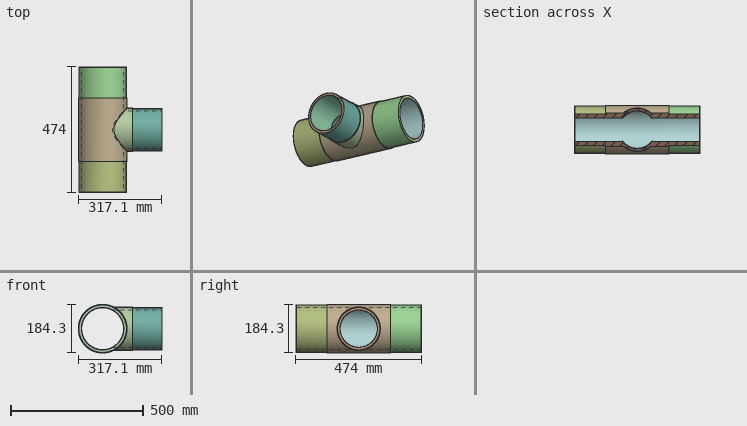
import cadquery as cq

run_outer_diameter = 180.0
run_bore_diameter = 158.6
run_body_diameter = 184.28
run_length = 474.0
run_body_length = 240.0

branch_outer_diameter = 160.0
branch_bore_diameter = 141.0
branch_collar_diameter = 163.8
branch_reach = 225.0
branch_collar_reach = 113.0


def run_cylinder(diameter, length):
    """Cylinder along Y, centred on the origin."""
    return cq.Workplane("XZ").circle(diameter / 2).extrude(length / 2, both=True)


def branch_cylinder(diameter, reach):
    """Cylinder along +X, starting on the run axis."""
    return cq.Workplane("YZ").circle(diameter / 2).extrude(reach)


def make_outer_body():
    """Solid tee: pipe ends with the thicker moulded body between them."""
    run = run_cylinder(run_outer_diameter, run_length)
    run_body = run_cylinder(run_body_diameter, run_body_length)
    branch = branch_cylinder(branch_outer_diameter, branch_reach)
    branch_collar = branch_cylinder(branch_collar_diameter, branch_collar_reach)
    return run.union(run_body).union(branch).union(branch_collar)


def make_bores():
    """Through bore of the run joined by the bore of the branch."""
    run_bore = run_cylinder(run_bore_diameter, run_length)
    branch_bore = branch_cylinder(branch_bore_diameter, branch_reach)
    return run_bore.union(branch_bore)


result = make_outer_body().cut(make_bores())